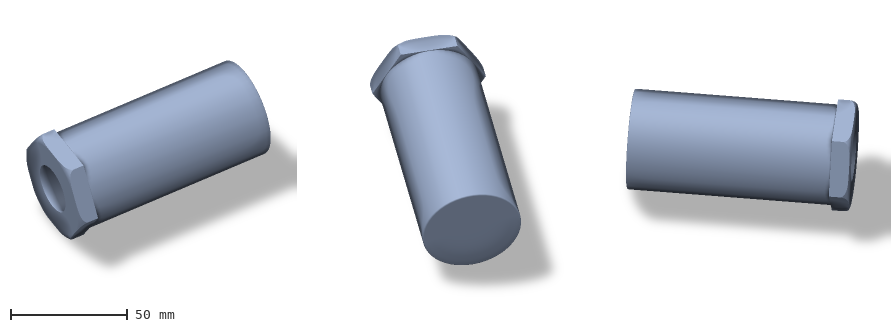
import cadquery as cq
import math

total_length = 95.8

head_flats = 43.0
head_corners = head_flats / math.cos(math.pi / 6)
head_thickness = 8.0
corner_round = (head_corners - head_flats) / 2

body_diameter = 43.2
body_length = total_length - head_thickness
body_round = 0.6

bore_diameter = 21.7
bore_depth = 76.6
bore_floor_round = 0.3


def make_head():
    """Hexagonal prism whose outer corners are rounded over by a turned profile."""
    hexagon = (
        cq.Workplane("XZ")
        .polygon(6, head_corners)
        .extrude(-head_thickness)
    )
    rounded_blank = (
        cq.Workplane("XZ")
        .circle(head_corners / 2)
        .extrude(-head_thickness)
        .faces("<Y")
        .edges()
        .fillet(corner_round)
    )
    return hexagon.intersect(rounded_blank)


def make_body():
    """Plain cylinder with a small round at both ends."""
    return (
        cq.Workplane("XZ", origin=(0, head_thickness, 0))
        .circle(body_diameter / 2)
        .extrude(-body_length)
        .faces("<Y or >Y")
        .edges()
        .fillet(body_round)
    )


def make_bore():
    """Blind bore with a slightly rounded floor corner."""
    return (
        cq.Workplane("XZ")
        .circle(bore_diameter / 2)
        .extrude(-bore_depth)
        .faces(">Y")
        .edges()
        .fillet(bore_floor_round)
    )


result = make_head().union(make_body()).cut(make_bore())